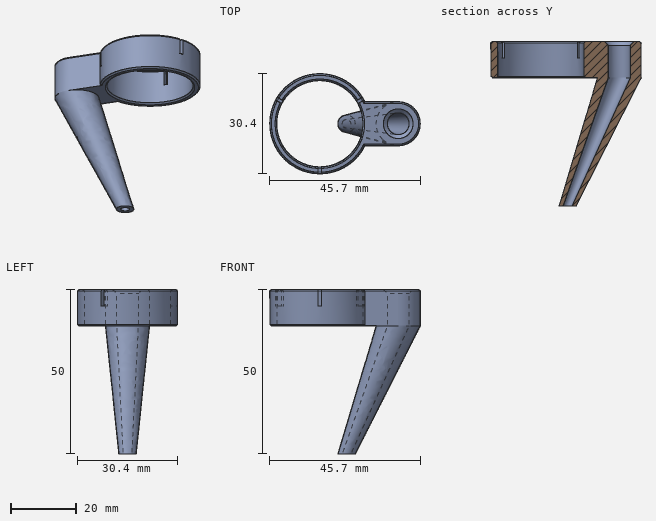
import cadquery as cq

ring_outer_diameter = 30.42
ring_bore_diameter = 26.17
body_height = 11.1
edge_chamfer = 0.5

slot_width = 1.0
slot_depth = 5.0
slot_angles = (30, 150, 270)

overall_length = 45.7
lug_width = 13.4
lug_radius = lug_width / 2
lug_center_x = overall_length - ring_outer_diameter / 2 - lug_radius

overall_height = 50.0
leg_length = overall_height - body_height
leg_tip_diameter = 5.3
leg_tip_x = 8.1

hole_diameter = 6.6
countersink_diameter = 9.0
countersink_depth = 1.2
hole_tip_diameter = hole_diameter * leg_tip_diameter / lug_width


def make_ring():
    blank = cq.Workplane("XY").circle(ring_outer_diameter / 2).extrude(body_height)
    return blank.faces("<Z or >Z").edges().chamfer(edge_chamfer)


def make_lug():
    """Block from the ring axis to the lug center, closed by a half-round end."""
    block = cq.Workplane("XY").rect(lug_center_x, lug_width).extrude(body_height)
    block = block.translate((lug_center_x / 2, 0, 0))
    end = cq.Workplane("XY").center(lug_center_x, 0).circle(lug_radius).extrude(body_height)
    return block.union(end).faces(">Z").edges().chamfer(edge_chamfer)


def level_cone(bottom_z, bottom_diameter, top_z, top_diameter):
    """Straight-sided round solid standing on the Z axis."""
    profile = [
        (0, bottom_z),
        (bottom_diameter / 2, bottom_z),
        (top_diameter / 2, top_z),
        (0, top_z),
    ]
    return cq.Workplane("XZ").polyline(profile).close().revolve(360, (0, 0), (0, 1))


def make_bore():
    """Ring opening with a chamfered rim at both ends."""
    mouth_diameter = ring_bore_diameter + 2 * edge_chamfer
    bore = level_cone(0, ring_bore_diameter, body_height, ring_bore_diameter)
    lower_mouth = level_cone(0, mouth_diameter, edge_chamfer, ring_bore_diameter)
    upper_mouth = level_cone(body_height - edge_chamfer, ring_bore_diameter, body_height, mouth_diameter)
    return bore.union(lower_mouth).union(upper_mouth)


def make_slot(angle):
    """Cutter running outward from the ring axis, well past the ring wall."""
    slot = cq.Workplane("XY").box(
        ring_outer_diameter, slot_width, slot_depth, centered=(False, True, False)
    )
    slot = slot.translate((0, 0, body_height - slot_depth))
    return slot.rotate((0, 0, 0), (0, 0, 1), angle)


def leaning_cone(top_diameter, tip_diameter):
    """Taper from the lug's underside down to the leg tip, both ends level."""
    return (
        cq.Workplane("XY")
        .center(lug_center_x, 0)
        .circle(top_diameter / 2)
        .workplane(offset=-leg_length)
        .center(leg_tip_x - lug_center_x, 0)
        .circle(tip_diameter / 2)
        .loft(ruled=True)
    )


def make_passage():
    """Countersunk hole through the lug, continued as a narrowing bore down the leg."""
    hole = level_cone(0, hole_diameter, body_height, hole_diameter)
    countersink_floor = body_height - countersink_depth
    countersink = level_cone(countersink_floor, hole_diameter, body_height, countersink_diameter)
    entry = hole.union(countersink).translate((lug_center_x, 0, 0))
    return entry.union(leaning_cone(hole_diameter, hole_tip_diameter))


body = make_ring().union(make_lug()).cut(make_bore())
result = body.union(leaning_cone(lug_width, leg_tip_diameter)).cut(make_passage())
for slot_angle in slot_angles:
    result = result.cut(make_slot(slot_angle))